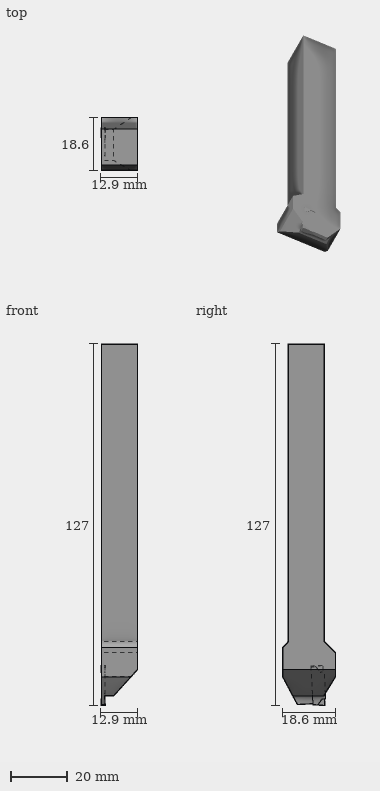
import cadquery as cq
import math

total_length = 127.0
shank_size = 12.7

rake_bulge = 4.0
heel_bulge = 1.9
rake_shoulder_top = 22.6
heel_shoulder_top = 22.4
shoulder_angle = 45.0
rake_taper_top = 10.2
rake_taper_angle = 31.8
heel_taper_angle = 28.0
heel_corner_y = 3.25
heel_corner_z = 0.35
shoulder_fillet = 1.0

blade_thickness = 1.2
blade_height = 3.4
ledge_end_x = 4.3
back_bevel_top = 12.65

insert_length = 14.2
insert_tilt = 3.0
tip_y = 12.95
insert_height = 4.2
rake_rise = 0.35
end_relief_angle = 7.0
crown_length = 2.4
crown_edge_depth = 2.6
crown_top_depth = 0.9
crown_flare = 0.19
crown_side_angle = 3.0

end_relief = insert_height * math.tan(math.radians(end_relief_angle))


def seat(body):
    """Tilt an upright insert shape and move it to its place in the holder."""
    return body.rotate((0, 0, 0), (1, 0, 0), insert_tilt).translate((0, tip_y, 0))


def insert_body(relief):
    """Plate with a raised middle on its rake side; relief shortens the back of both ends."""
    outline = [
        (0, 0),
        (-insert_height, relief),
        (-insert_height, insert_length - relief),
        (0, insert_length),
        (0, insert_length - crown_length),
        (rake_rise, insert_length - crown_length),
        (rake_rise, crown_length),
        (0, crown_length),
    ]
    return cq.Workplane("YZ").polyline(outline).close().extrude(blade_thickness)


def cutting_crown():
    """Flared cutting corner at the lower end, narrowing away from the cutting edge."""
    edge_rise = crown_edge_depth * math.tan(math.radians(end_relief_angle))
    corner = [
        (0, 0),
        (-crown_edge_depth, edge_rise),
        (-crown_top_depth, crown_length),
        (0, crown_length),
    ]
    narrowing = crown_length * math.tan(math.radians(crown_side_angle))
    left = -crown_flare
    right = blade_thickness + crown_flare
    width = [
        (left, 0),
        (right, 0),
        (right - narrowing, crown_length),
        (left + narrowing, crown_length),
    ]
    left_plane = cq.Workplane("YZ", origin=(left, 0, 0))
    corner_prism = left_plane.polyline(corner).close().extrude(right - left)
    width_prism = cq.Workplane("XZ").polyline(width).close().extrude(crown_edge_depth)
    return corner_prism.intersect(width_prism)


def make_insert():
    crown = cutting_crown()
    middle = (0, 0, insert_length / 2)
    upper_crown = crown.mirror("XY", middle)
    return seat(insert_body(end_relief).union(crown).union(upper_crown))


def holder_blank():
    """Shank and head, cut to the shape of the head across its flat side."""
    rake_side = shank_size + rake_bulge
    shoulder_slope = math.tan(math.radians(shoulder_angle))
    bottom_slope = math.tan(math.radians(insert_tilt))
    rake_taper = math.tan(math.radians(rake_taper_angle))
    rake_shoulder_bottom = rake_shoulder_top - rake_bulge * shoulder_slope
    heel_shoulder_bottom = heel_shoulder_top - heel_bulge * shoulder_slope
    heel_taper = math.tan(math.radians(heel_taper_angle))
    heel_taper_top = heel_corner_z + (heel_corner_y + heel_bulge) / heel_taper
    bottom_run = rake_side - rake_taper_top * rake_taper - heel_corner_y
    rake_corner_z = (heel_corner_z + bottom_run * bottom_slope) / (1 - rake_taper * bottom_slope)
    rake_corner_y = rake_side - (rake_taper_top - rake_corner_z) * rake_taper
    outline = [
        (0, total_length),
        (0, heel_shoulder_top),
        (-heel_bulge, heel_shoulder_bottom),
        (-heel_bulge, heel_taper_top),
        (heel_corner_y, heel_corner_z),
        (rake_corner_y, rake_corner_z),
        (rake_side, rake_taper_top),
        (rake_side, rake_shoulder_bottom),
        (shank_size, rake_shoulder_top),
        (shank_size, total_length),
    ]
    blank = cq.Workplane("YZ").polyline(outline).close().extrude(shank_size)
    heel_shoulder_edge = cq.selectors.NearestToPointSelector((shank_size / 2, 0, heel_shoulder_top))
    return blank.edges(heel_shoulder_edge).fillet(shoulder_fillet)


def back_relief():
    """Space behind the blade, below the ledge and the sloping back of the head."""
    outline = [
        (blade_thickness, 0),
        (blade_thickness, blade_height),
        (ledge_end_x, blade_height),
        (shank_size, back_bevel_top),
        (shank_size, 0),
    ]
    head_width = shank_size + rake_bulge + heel_bulge
    heel_plane = cq.Workplane("XZ", origin=(0, -heel_bulge, 0))
    return heel_plane.polyline(outline).close().extrude(-head_width)


insert = make_insert()
insert_pocket = seat(insert_body(0))
holder = holder_blank().cut(back_relief()).cut(insert_pocket).cut(insert)

result = cq.Compound.makeCompound([holder.val(), insert.val()])